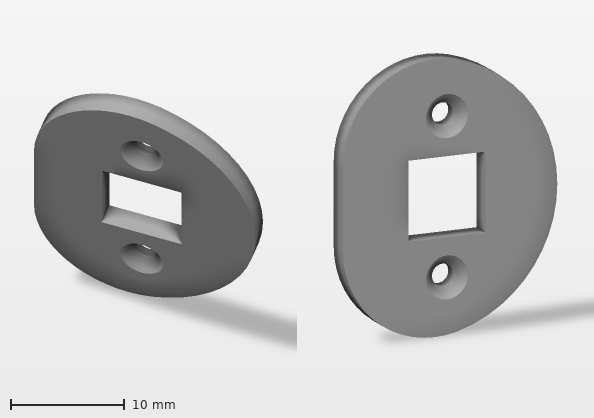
import cadquery as cq
import math

width = 20.59
height = 25.31
thickness = 2.0

left_x = -10.0
corner_radius = 8.8

window_size = 7.4
hole_diameter = 2.0
hole_spacing = 14.7
countersink_diameter = 4.0
countersink_angle = 90.0

right_x = left_x + width
corner_x = left_x + corner_radius
corner_z = height / 2 - corner_radius

reach = right_x - corner_x
large_radius = (reach**2 + corner_z**2 - corner_radius**2) / (2 * (reach - corner_radius))
large_x = right_x - large_radius

tangent_angle = math.atan2(corner_z, corner_x - large_x)


def corner_point(angle):
    """Point on the upper corner arc at the given angle from +X."""
    return (
        corner_x + corner_radius * math.cos(angle),
        corner_z + corner_radius * math.sin(angle),
    )


def mirrored(point):
    """The same point reflected to the lower half of the plate."""
    return (point[0], -point[1])


def make_plate():
    flat_end = corner_point(math.pi)
    corner_middle = corner_point((math.pi + tangent_angle) / 2)
    tangent_point = corner_point(tangent_angle)
    return (
        cq.Workplane("XZ")
        .moveTo(*mirrored(flat_end))
        .lineTo(*flat_end)
        .threePointArc(corner_middle, tangent_point)
        .threePointArc((right_x, 0), mirrored(tangent_point))
        .threePointArc(mirrored(corner_middle), mirrored(flat_end))
        .close()
        .extrude(-thickness)
    )


def cut_window(plate):
    window = cq.Workplane("XZ").rect(window_size, window_size).extrude(-thickness)
    return plate.cut(window)


def cut_screw_holes(plate):
    return (
        plate.faces("<Y")
        .workplane(origin=(0, 0, 0))
        .pushPoints([(0, -hole_spacing / 2), (0, hole_spacing / 2)])
        .cskHole(hole_diameter, countersink_diameter, countersink_angle)
    )


result = cut_screw_holes(cut_window(make_plate()))